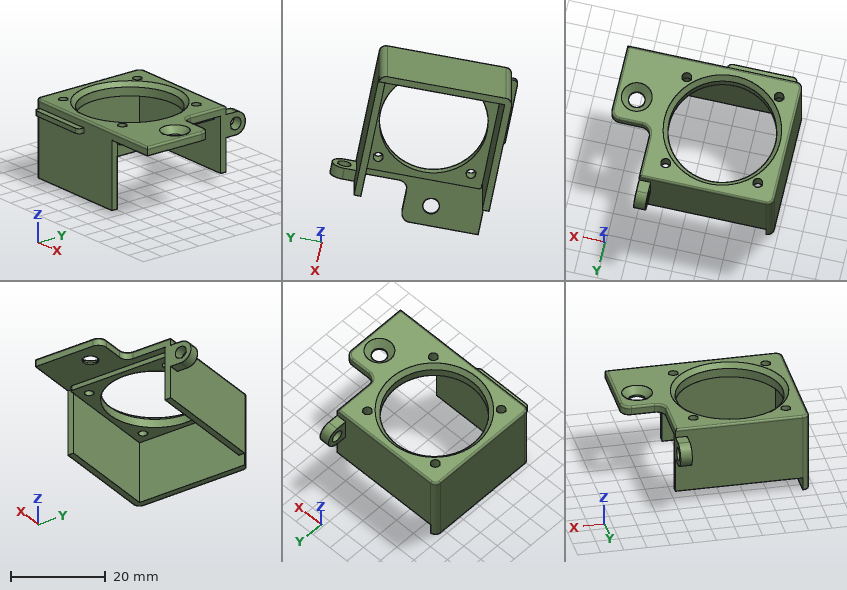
import cadquery as cq

length = 38.0
depth = 28.5
total_depth = 35.2
height = 17.8
plate_thickness = 1.9
wall_thickness = 1.5
corner_radius = 1.5
edge_round = 0.45

body_length = 29.0
flange_depth = 16.8
step_radius = 2.0

front_wall_length = 26.0
back_wall_height = 13.0

opening_x = 14.2
opening_y = depth / 2
opening_diameter = 23.0
opening_chamfer = 1.03
screw_spacing = 20.0
screw_diameter = 2.0

flange_hole_x = 33.5
flange_hole_y = 11.02
flange_hole_diameter = 3.5
countersink_diameter = 6.5
countersink_angle = 90

tab_start = 1.5
tab_length = 15.0
tab_reach = 1.5
layer_thickness = 1.15
tab_radius = 1.0
layer_end = 27.2
layer_corner_radius = 0.5

ear_thickness = 2.5
ear_radius = 2.62
ear_hole_diameter = 2.8
ear_reach = total_depth - tab_reach - depth

plate_bottom = height - plate_thickness
layer_bottom = plate_bottom - layer_thickness


def box(x, y, z, size_x, size_y, size_z):
    """Box placed by its lowest corner."""
    return cq.Workplane("XY").box(size_x, size_y, size_z, centered=False).translate((x, y, z))


def vertical_hole(x, y, diameter):
    """Cutter for a round hole through the top plate and the lower layer."""
    return cq.Workplane("XY", origin=(x, y, layer_bottom)).circle(diameter / 2).extrude(height - layer_bottom)


def make_shell():
    """Top plate with left, front and back walls below it."""
    plate = box(0, 0, plate_bottom, length, flange_depth, plate_thickness)
    plate = plate.union(box(0, 0, plate_bottom, body_length, depth, plate_thickness))
    middle = plate_bottom + plate_thickness / 2
    for x, y in ((body_length, flange_depth), (length, flange_depth)):
        plate = plate.edges(cq.selectors.NearestToPointSelector((x, y, middle))).fillet(step_radius)

    left_wall = box(0, 0, 0, wall_thickness, depth, plate_bottom)
    front_wall = box(0, 0, 0, front_wall_length, wall_thickness, plate_bottom)
    back_y = depth - wall_thickness
    back_bottom = plate_bottom - back_wall_height
    back_wall = box(0, back_y, back_bottom, body_length, wall_thickness, back_wall_height)
    shell = plate.union(left_wall).union(front_wall).union(back_wall).clean()
    shell = shell.edges("|Z and <X").fillet(corner_radius)
    return shell.faces(">Z").edges().fillet(edge_round)


def make_lower_layer():
    """Second plate layer between the walls, with rounded free corners on the right."""
    layer = box(
        wall_thickness, wall_thickness, layer_bottom,
        layer_end - wall_thickness, depth - 2 * wall_thickness, layer_thickness,
    )
    return layer.faces(">X").edges("|Z").fillet(layer_corner_radius)


def make_tab():
    """Flat tab level with the lower layer, with two rounded corners on its free side."""
    tab = box(tab_start, -tab_reach, layer_bottom, tab_length, tab_reach, layer_thickness)
    return tab.faces("<Y").edges("|Z").fillet(tab_radius)


def make_ear():
    """Upright lug with a round end and a hole along X, flush with the end of the back wall."""
    center_y = depth + ear_reach - ear_radius
    center_z = plate_bottom - ear_radius
    start_x = body_length - ear_thickness
    root_y = depth - wall_thickness
    ear = box(start_x, root_y, center_z - ear_radius, ear_thickness, center_y - root_y, 2 * ear_radius)
    end_plane = cq.Workplane("YZ", origin=(start_x, center_y, center_z))
    ear = ear.union(end_plane.circle(ear_radius).extrude(ear_thickness))
    return ear.cut(end_plane.circle(ear_hole_diameter / 2).extrude(ear_thickness))


def cut_openings(body):
    """Cut the chamfered opening, its screw holes and the countersunk flange hole."""
    rim_diameter = opening_diameter + 2 * opening_chamfer
    chamfer_cone = (
        cq.Workplane("XY", origin=(opening_x, opening_y, height))
        .circle(rim_diameter / 2)
        .workplane(offset=-opening_chamfer)
        .circle(opening_diameter / 2)
        .loft()
    )
    body = body.cut(vertical_hole(opening_x, opening_y, opening_diameter)).cut(chamfer_cone)
    for side_x in (-1, 1):
        for side_y in (-1, 1):
            x = opening_x + side_x * screw_spacing / 2
            y = opening_y + side_y * screw_spacing / 2
            body = body.cut(vertical_hole(x, y, screw_diameter))
    return (
        cq.Workplane("XY", origin=(flange_hole_x, flange_hole_y, height))
        .add(body)
        .pushPoints([(0, 0)])
        .cskHole(flange_hole_diameter, countersink_diameter, countersink_angle, plate_thickness)
    )


body = make_shell().union(make_lower_layer()).union(make_tab()).union(make_ear())
result = cut_openings(body)